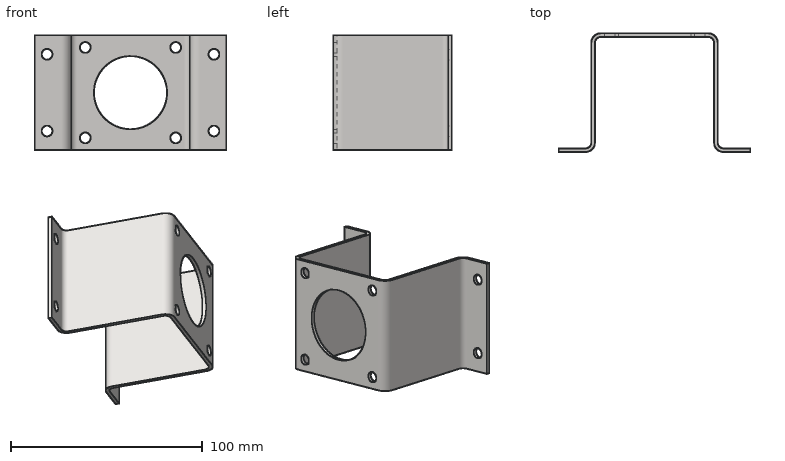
import cadquery as cq

thickness = 2.0
inner_bend_radius = 3.0
outer_bend_radius = inner_bend_radius + thickness

overall_width = 100.0
depth = 62.0
height = 60.0
channel_width = 66.0

bore_diameter = 38.0
web_hole_spacing = 47.14
web_hole_diameter = 5.5

flange_hole_spacing_x = 87.0
flange_hole_spacing_z = 40.0
flange_hole_diameter = 5.5

flange_front = 0.0
flange_back = flange_front + thickness
web_back = flange_front + depth
web_front = web_back - thickness
leg_outer_x = channel_width / 2
leg_inner_x = leg_outer_x - thickness


def plate(x_min, x_max, y_min, y_max):
    """Full-height box between the given X and Y limits."""
    return cq.Workplane("XY").box(
        x_max - x_min, y_max - y_min, height, centered=(False, False, True)
    ).translate((x_min, y_min, 0))


def round_corner(sheet, x, y, radius):
    """Fillet the vertical edge standing at (x, y)."""
    reach = thickness / 4
    corner = cq.selectors.BoxSelector(
        (x - reach, y - reach, -height), (x + reach, y + reach, height)
    )
    return sheet.edges("|Z").edges(corner).fillet(radius)


def bent_profile():
    """Hat-shaped sheet: flange, leg, web, leg, flange, with rounded bends."""
    sheet = plate(-leg_outer_x, leg_outer_x, flange_front, web_back)
    for side in (-1, 1):
        flange_edges = sorted((side * leg_inner_x, side * overall_width / 2))
        sheet = sheet.union(plate(*flange_edges, flange_front, flange_back))
    channel = plate(-leg_inner_x, leg_inner_x, flange_front, web_front)
    sheet = sheet.cut(channel)

    bends = (
        (leg_outer_x, web_back, outer_bend_radius),
        (leg_inner_x, web_front, inner_bend_radius),
        (leg_inner_x, flange_front, outer_bend_radius),
        (leg_outer_x, flange_back, inner_bend_radius),
    )
    for x, y, radius in bends:
        for side in (-1, 1):
            sheet = round_corner(sheet, side * x, y, radius)
    return sheet


def hole_cutters(spacing_x, spacing_z, diameter, y_start):
    """Four round cutters along +Y, one sheet thickness long."""
    return (
        cq.Workplane("XZ", origin=(0, y_start, 0))
        .rect(spacing_x, spacing_z, forConstruction=True)
        .vertices()
        .circle(diameter / 2)
        .extrude(-thickness)
    )


def bore_cutter():
    """Large central cutter through the web."""
    return (
        cq.Workplane("XZ", origin=(0, web_front, 0))
        .circle(bore_diameter / 2)
        .extrude(-thickness)
    )


web_holes = hole_cutters(
    web_hole_spacing, web_hole_spacing, web_hole_diameter, web_front
)
flange_holes = hole_cutters(
    flange_hole_spacing_x, flange_hole_spacing_z, flange_hole_diameter, flange_front
)

result = bent_profile().cut(bore_cutter()).cut(web_holes).cut(flange_holes)